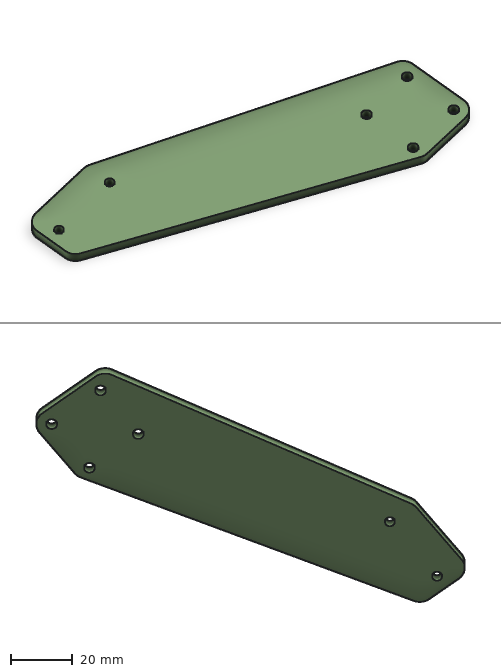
import cadquery as cq

LENGTH_X = 80.0
LENGTH_Y = 130.0
THICKNESS = 4.0
CORNER_RADIUS = 5.0

BOTTOM_EDGE = 20.0
TOP_EDGE = 30.0
LEFT_EDGE = 30.0
RIGHT_EDGE = 25.0

TOP_HOLE_DIAMETER = 3.5
TOP_HOLE_PITCH = 20.0
TOP_HOLE_INSET = 5.0

BOTTOM_HOLE_DIAMETER = 3.2
BOTTOM_HOLE_PITCH = 25.0
BOTTOM_HOLE_X = BOTTOM_EDGE / 2
BOTTOM_HOLE_INSET = 5.0


def make_plate():
    """Slanted six-sided plate with rounded corners, its bottom left corner at the origin."""
    outline = [
        (0, 0),
        (BOTTOM_EDGE, 0),
        (LENGTH_X, LENGTH_Y - RIGHT_EDGE),
        (LENGTH_X, LENGTH_Y),
        (LENGTH_X - TOP_EDGE, LENGTH_Y),
        (0, LEFT_EDGE),
    ]
    plate = cq.Workplane("XY").polyline(outline).close().extrude(THICKNESS)
    return plate.edges("|Z").fillet(CORNER_RADIUS)


def drill(plate, centers, diameter):
    """Cut round through holes at the given centers."""
    holes = cq.Workplane("XY").pushPoints(centers).circle(diameter / 2).extrude(THICKNESS)
    return plate.cut(holes)


def top_hole_centers():
    right_x = LENGTH_X - TOP_HOLE_INSET
    upper_y = LENGTH_Y - TOP_HOLE_INSET
    return [
        (x, y)
        for x in (right_x - TOP_HOLE_PITCH, right_x)
        for y in (upper_y - TOP_HOLE_PITCH, upper_y)
    ]


def bottom_hole_centers():
    upper_y = BOTTOM_HOLE_INSET + BOTTOM_HOLE_PITCH
    return [(BOTTOM_HOLE_X, y) for y in (BOTTOM_HOLE_INSET, upper_y)]


result = make_plate()
result = drill(result, top_hole_centers(), TOP_HOLE_DIAMETER)
result = drill(result, bottom_hole_centers(), BOTTOM_HOLE_DIAMETER)